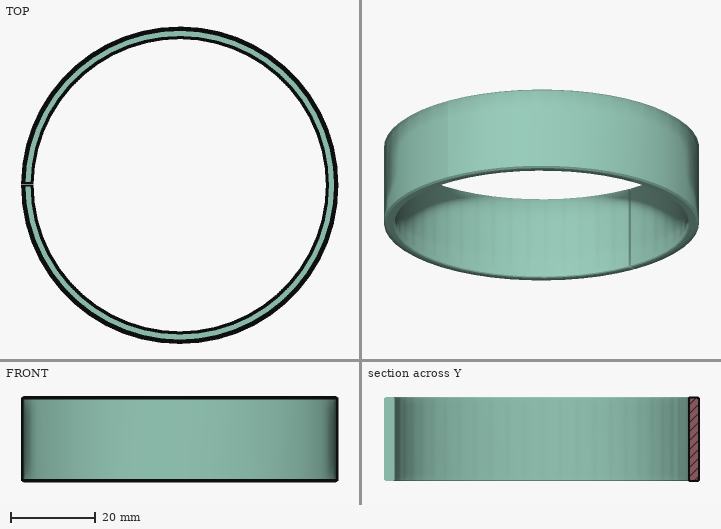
import cadquery as cq

outer_diameter = 75.0
wall = 2.5
height = 20.0
slit_width = 0.5
outer_chamfer_width = 0.5
outer_chamfer_height = 0.4
inner_chamfer = 0.2

outer_radius = outer_diameter / 2
inner_radius = outer_radius - wall

section = [
    (inner_radius + inner_chamfer, 0),
    (outer_radius - outer_chamfer_width, 0),
    (outer_radius, outer_chamfer_height),
    (outer_radius, height - outer_chamfer_height),
    (outer_radius - outer_chamfer_width, height),
    (inner_radius + inner_chamfer, height),
    (inner_radius, height - inner_chamfer),
    (inner_radius, inner_chamfer),
]
ring = cq.Workplane("XZ").polyline(section).close().revolve(360, (0, 0), (0, 1))

slit_length = 4 * wall
slit = cq.Workplane("XY").center(-outer_radius, slit_width / 2).rect(slit_length, slit_width).extrude(height)

result = ring.cut(slit)